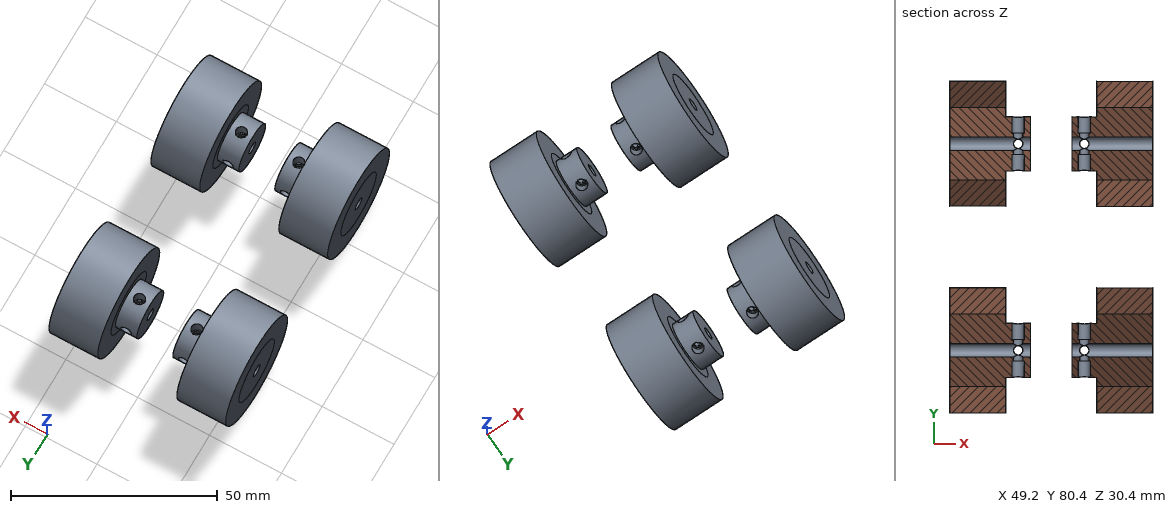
import cadquery as cq

OVERALL_LENGTH = 49.2
ROW_SPACING = 50.0
BOSS_GAP = 10.0

TYRE_DIAMETER = 30.4
TYRE_WIDTH = 13.6

CORE_DIAMETER = 17.4
BOSS_DIAMETER = 13.2
BORE_DIAMETER = 3.2
HUB_LENGTH = (OVERALL_LENGTH - BOSS_GAP) / 2
BOSS_LENGTH = HUB_LENGTH - TYRE_WIDTH

SCREW_DIAMETER = 2.2
SCREW_MOUTH_DIAMETER = 2.9
SCREW_MOUTH_DEPTH = 4.0
SCREW_X = TYRE_WIDTH + BOSS_LENGTH / 2
SCREW_DIRECTIONS = [(0, 1, 0), (0, -1, 0), (0, 0, 1), (0, 0, -1)]


def rod(diameter, start, length):
    """Cylinder along +X from the given start position."""
    return cq.Workplane("YZ").workplane(offset=start).circle(diameter / 2).extrude(length)


def screw_hole(direction):
    """Stepped cutter from the hub axis out through the boss wall."""
    boss_radius = BOSS_DIAMETER / 2
    axis_point = cq.Vector(SCREW_X, 0, 0)
    outward = cq.Vector(*direction)
    mouth_floor = axis_point + outward * (boss_radius - SCREW_MOUTH_DEPTH)
    shank = cq.Solid.makeCylinder(SCREW_DIAMETER / 2, boss_radius, axis_point, outward)
    mouth = cq.Solid.makeCylinder(SCREW_MOUTH_DIAMETER / 2, SCREW_MOUTH_DEPTH, mouth_floor, outward)
    return shank.fuse(mouth)


def make_tyre():
    """Plain ring with its outer face at X = 0."""
    return rod(TYRE_DIAMETER, 0, TYRE_WIDTH).cut(rod(CORE_DIAMETER, 0, TYRE_WIDTH))


def make_hub():
    """Core flush with both tyre faces, boss toward +X, bore right through."""
    hub = rod(CORE_DIAMETER, 0, TYRE_WIDTH).union(rod(BOSS_DIAMETER, TYRE_WIDTH, BOSS_LENGTH))
    hub = hub.cut(rod(BORE_DIAMETER, 0, HUB_LENGTH))
    for direction in SCREW_DIRECTIONS:
        hub = hub.cut(cq.Workplane(obj=screw_hole(direction)))
    return hub


def place(body, side, row):
    """Move a body to one wheel position; side +1 faces its boss toward -X."""
    if side > 0:
        body = body.rotate((0, 0, 0), (0, 0, 1), 180)
    return body.translate((side * OVERALL_LENGTH / 2, row * ROW_SPACING / 2, 0))


tyre = make_tyre()
hub = make_hub()

bodies = []
for side in (-1, 1):
    for row in (-1, 1):
        bodies.append(place(tyre, side, row).val())
        bodies.append(place(hub, side, row).val())

result = cq.Compound.makeCompound(bodies)